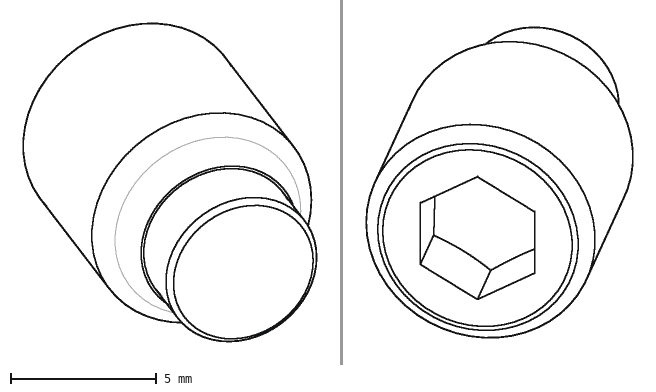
import cadquery as cq
import math

length = 12.0
body_diameter = 8.0
body_radius = body_diameter / 2

face_radius = 3.31
face_bevel_radius = 3.5
face_bevel_length = 0.1
thread_chamfer = body_radius - face_bevel_radius

dog_radius = 2.75
dog_length = 2.5
dog_chamfer = 0.2

flare_length = 1.19
flare_start_radius = 3.38
flare_end_radius = 2.85
flare_curve_radius = 3.12

hex_across_flats = 4.0
hex_corner_depth = 2.5
cone_tip_angle = 120.0

dog_start = length - dog_length
flare_start = dog_start - flare_length
body_end = flare_start - (body_radius - flare_start_radius)
body_start = face_bevel_length + thread_chamfer


def make_body():
    """Revolve the half profile (X, radius) about the X axis."""
    profile = (
        cq.Workplane("XY")
        .lineTo(0, face_radius)
        .lineTo(face_bevel_length, face_bevel_radius)
        .lineTo(body_start, body_radius)
        .lineTo(body_end, body_radius)
        .lineTo(flare_start, flare_start_radius)
        .radiusArc((dog_start, flare_end_radius), -flare_curve_radius)
        .lineTo(dog_start, dog_radius)
        .lineTo(length - dog_chamfer, dog_radius)
        .lineTo(length, dog_radius - dog_chamfer)
        .lineTo(length, 0)
        .close()
    )
    return profile.revolve(360, (0, 0, 0), (1, 0, 0))


def make_socket():
    """Hexagonal prism, corners on +Z and -Z, trimmed by a pointed cylinder."""
    corner_radius = hex_across_flats / math.sqrt(3)
    cone_depth = corner_radius / math.tan(math.radians(cone_tip_angle / 2))
    tip_depth = hex_corner_depth + cone_depth
    prism = (
        cq.Workplane("YZ")
        .polygon(6, 2 * corner_radius)
        .extrude(tip_depth)
        .rotate((0, 0, 0), (1, 0, 0), 90)
    )
    pointed_cylinder = (
        cq.Workplane("XY")
        .lineTo(0, corner_radius)
        .lineTo(hex_corner_depth, corner_radius)
        .lineTo(tip_depth, 0)
        .close()
        .revolve(360, (0, 0, 0), (1, 0, 0))
    )
    return prism.intersect(pointed_cylinder)


result = make_body().cut(make_socket())